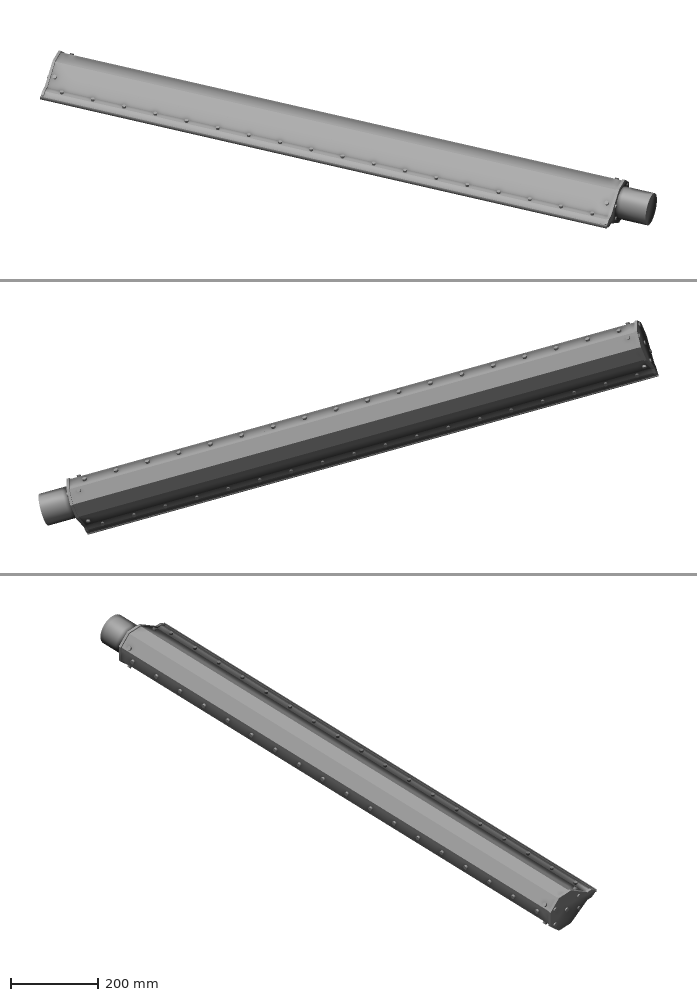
import cadquery as cq
import math

total_length = 1459.0
total_depth = 153.0

bolt_head_height = 3.0
body_start = bolt_head_height
body_end = 1386.0
plate_thickness = 6.1

half_height = 48.0
back_y = 53.0
back_ridge_y = 25.0
front_ridge_y = -15.0
flange_half_height = 11.4
flange_tip_y = -82.0
lip_tip_y = -93.0
chamfer_angle = math.radians(45)
slope_angle = math.radians(34.5)
lip_angle = math.radians(30)

flange_root_y = front_ridge_y - (half_height - flange_half_height) / math.tan(slope_angle)

housing_inset = 3.0
screw_head_height = 5.1

strip_tip_y = back_y - housing_inset + screw_head_height - total_depth
strip_half_height = 2.2
bead_half_height = 4.2
bead_depth = 3.2
bead_nose_radius = 9.5

shaft_diameter = 76.0
pivot_diameter = 11.0

row_count = 18
row_start = 47.0
row_length = 1296.0
row_pitch = row_length / (row_count - 1)
flange_screw_y = -75.0
flange_screw_diameter = 8.5
back_screw_diameter = 10.0

slope_screw_y = -44.0
slope_screw_offset = 19.0
slope_screw_diameter = 9.5
chamfer_screw_y = 44.0
chamfer_screw_offset = 28.0
chamfer_screw_diameter = 9.5

plate_bolts = [(38.0, 22.0, 11.0), (-40.0, 18.0, 9.0)]

embed = 1.0


def section(inset):
    """Closed outline of the plates, with every face except the tip moved inward by inset."""
    chamfer_shift = inset * math.tan(chamfer_angle / 2)
    slope_shift = inset * math.tan(slope_angle / 2)
    back_corner_z = half_height - (back_y - back_ridge_y) * math.tan(chamfer_angle)
    top_z = half_height - inset
    flange_z = flange_half_height - inset
    lip_start_y = flange_tip_y + inset * math.tan(lip_angle / 2)
    lip_tip_z = flange_z - (lip_start_y - lip_tip_y) * math.tan(lip_angle)
    upper = [
        (back_y - inset, back_corner_z - chamfer_shift),
        (back_ridge_y - chamfer_shift, top_z),
        (front_ridge_y + slope_shift, top_z),
        (flange_root_y + slope_shift, flange_z),
        (lip_start_y, flange_z),
        (lip_tip_y, lip_tip_z),
    ]
    lower = [(y, -z) for y, z in reversed(upper)]
    return cq.Workplane("YZ").polyline(upper + lower).close()


def housing():
    """Sheet housing between the two end plates."""
    length = body_end - body_start - 2 * plate_thickness
    return section(housing_inset).extrude(length).translate((body_start + plate_thickness, 0, 0))


def end_plate(start):
    return section(0).extrude(plate_thickness).translate((start, 0, 0))


def seal_strip():
    """Thin strip that ends in a taller bead with a rounded nose."""
    nose_depth = bead_nose_radius - math.sqrt(bead_nose_radius**2 - bead_half_height**2)
    nose_edge_y = strip_tip_y + nose_depth
    bead_back_y = strip_tip_y + bead_depth
    return (
        cq.Workplane("YZ", origin=(body_start, 0, 0))
        .moveTo(flange_root_y, strip_half_height)
        .lineTo(bead_back_y, strip_half_height)
        .lineTo(bead_back_y, bead_half_height)
        .lineTo(nose_edge_y, bead_half_height)
        .threePointArc((strip_tip_y, 0), (nose_edge_y, -bead_half_height))
        .lineTo(bead_back_y, -bead_half_height)
        .lineTo(bead_back_y, -strip_half_height)
        .lineTo(flange_root_y, -strip_half_height)
        .close()
        .extrude(body_end - body_start)
    )


def head(diameter, height, base, outward):
    """Round screw head standing on a face at base, pointing along outward."""
    direction = cq.Vector(*outward).normalized()
    start = cq.Vector(*base) - direction * embed
    return cq.Solid.makeCylinder(diameter / 2, height + embed, start, direction)


def screw_rows():
    housing_back_y = back_y - housing_inset
    housing_flange_z = flange_half_height - housing_inset
    heads = []
    for i in range(row_count):
        x = row_start + i * row_pitch
        heads.append(head(back_screw_diameter, screw_head_height, (x, housing_back_y, 0), (0, 1, 0)))
        for side in (1, -1):
            base = (x, flange_screw_y, side * housing_flange_z)
            heads.append(head(flange_screw_diameter, screw_head_height, base, (0, 0, side)))
    return heads


def housing_end_screws():
    slope_plate_z = half_height - (front_ridge_y - slope_screw_y) * math.tan(slope_angle)
    slope_z = slope_plate_z - housing_inset / math.cos(slope_angle)
    chamfer_plate_z = half_height - (chamfer_screw_y - back_ridge_y) * math.tan(chamfer_angle)
    chamfer_z = chamfer_plate_z - housing_inset / math.cos(chamfer_angle)
    heads = []
    for side in (1, -1):
        slope_normal = (0, -math.sin(slope_angle), side * math.cos(slope_angle))
        chamfer_normal = (0, math.sin(chamfer_angle), side * math.cos(chamfer_angle))
        for x in (slope_screw_offset, body_end - slope_screw_offset):
            base = (x, slope_screw_y, side * slope_z)
            heads.append(head(slope_screw_diameter, screw_head_height, base, slope_normal))
        for x in (chamfer_screw_offset, body_end - chamfer_screw_offset):
            base = (x, chamfer_screw_y, side * chamfer_z)
            heads.append(head(chamfer_screw_diameter, screw_head_height, base, chamfer_normal))
    return heads


def plate_bolt_heads():
    heads = []
    for y, z, diameter in plate_bolts:
        for side in (1, -1):
            heads.append(head(diameter, bolt_head_height, (body_start, y, side * z), (-1, 0, 0)))
            heads.append(head(diameter, bolt_head_height, (body_end, y, side * z), (1, 0, 0)))
    return heads


shaft = (
    cq.Workplane("YZ", origin=(body_end - plate_thickness, 0, 0))
    .circle(shaft_diameter / 2)
    .extrude(total_length - body_end + plate_thickness)
)
pivot = head(pivot_diameter, bolt_head_height, (body_start, 0, 0), (-1, 0, 0))

body = (
    housing()
    .union(end_plate(body_start))
    .union(end_plate(body_end - plate_thickness))
    .union(seal_strip())
    .union(shaft)
)
all_heads = screw_rows() + housing_end_screws() + plate_bolt_heads() + [pivot]
result = cq.Workplane("XY").newObject([body.val().fuse(*all_heads)])